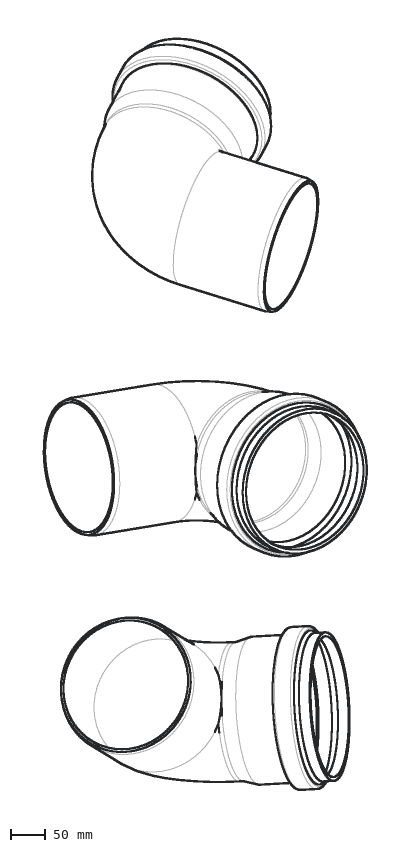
import cadquery as cq
import math

pipe_radius = 200.0 / 2
bore_radius = 188.0 / 2
bend_angle = 87.5
bend_radius = 93.5
outlet_length = 140.5
outlet_chamfer_length = 8.0
outlet_chamfer_depth = 2.0

rim_radius = 213.5 / 2
socket_radius = 212.8 / 2
socket_bore_radius = 202.0 / 2
collar_radius = 234.2 / 2
groove_radius = 223.0 / 2
collar_round = 3.5
collar_shoulder_radius = 110.5

rim_depth = 15.8
collar_start = 22.0
collar_end = 53.0
collar_shoulder_end = 55.0
socket_end = 110.0
taper_end = 132.7
bend_start = 139.5

wall = collar_radius - groove_radius
groove_start = collar_start + wall
groove_end = collar_end - wall

turn = math.radians(bend_angle)
outlet_direction = (math.sin(turn), -math.cos(turn))
outlet_start = (
    bend_radius * (1 - math.cos(turn)),
    -bend_start - bend_radius * math.sin(turn),
)


def revolve_about_socket_axis(points):
    """Turn (radius, depth) points, closed along the axis, into a solid."""
    outline = [(radius, -depth) for radius, depth in points]
    return cq.Workplane("XY").polyline(outline).close().revolve(360, (0, 0), (0, 1))


def bend(radius):
    """Sweep a round section about the bend axis; the sliver past that axis is cut off."""
    half_chord = math.sqrt(max(radius**2 - bend_radius**2, 0))
    return (
        cq.Workplane("XZ", origin=(0, -bend_start, 0))
        .moveTo(bend_radius, half_chord)
        .threePointArc((-radius, 0), (bend_radius, -half_chord))
        .close()
        .revolve(bend_angle, (bend_radius, 0), (bend_radius, 1))
    )


def outlet(radius):
    """Straight round bar from the end of the bend to the outlet face."""
    plane = cq.Plane(
        origin=(*outlet_start, 0), xDir=(0, 0, 1), normal=(*outlet_direction, 0)
    )
    return cq.Workplane(plane).circle(radius).extrude(outlet_length)


def socket_outside():
    collar = (
        cq.Workplane("XZ", origin=(0, -collar_start, 0))
        .circle(collar_radius)
        .extrude(collar_end - collar_start)
        .edges()
        .fillet(collar_round)
    )
    body = revolve_about_socket_axis([
        (0, 0),
        (rim_radius, 0),
        (rim_radius, rim_depth),
        (collar_shoulder_radius, collar_start),
        (rim_radius, collar_end),
        (socket_radius, collar_shoulder_end),
        (socket_radius, socket_end),
        (pipe_radius, taper_end),
        (pipe_radius, bend_start),
        (0, bend_start),
    ])
    return body.union(collar)


def socket_inside():
    return revolve_about_socket_axis([
        (0, 0),
        (socket_bore_radius, 0),
        (socket_bore_radius, rim_depth),
        (groove_radius, groove_start),
        (groove_radius, groove_end),
        (socket_bore_radius, groove_end),
        (socket_bore_radius, socket_end),
        (bore_radius, taper_end),
        (bore_radius, bend_start),
        (0, bend_start),
    ])


outlet_pipe = (
    outlet(pipe_radius)
    .faces(cq.selectors.DirectionMinMaxSelector(cq.Vector(*outlet_direction, 0)))
    .chamfer(outlet_chamfer_length, outlet_chamfer_depth)
)

outside = socket_outside().union(bend(pipe_radius)).union(outlet_pipe)
inside = socket_inside().union(bend(bore_radius)).union(outlet(bore_radius))
result = outside.cut(inside)